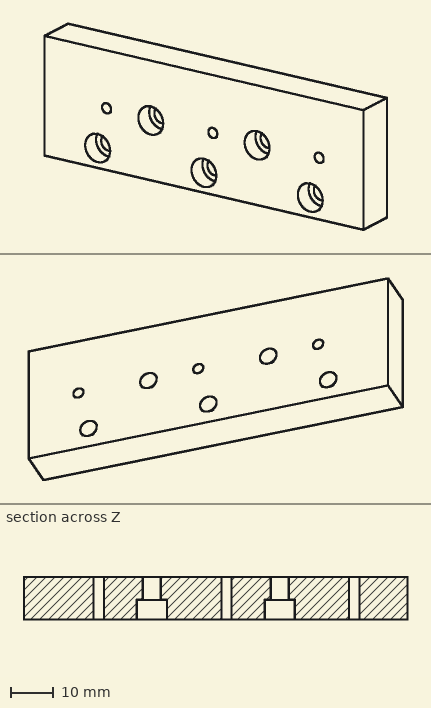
import cadquery as cq

length = 90
thickness = 10.0
height = 30.0

screw_pitch = length / 3
screw_diameter = 4.1
counterbore_diameter = 7.0
counterbore_depth = 4.6
lower_row_height = height / 6
upper_row_height = height / 2

pin_diameter = 2.5
pin_shift = 2.5
pin_row_height = 15.5

lower_screws = [(i * screw_pitch, lower_row_height) for i in (-1, 0, 1)]
upper_screws = [(i * screw_pitch / 2, upper_row_height) for i in (-1, 1)]
pins = [(i * screw_pitch + pin_shift, pin_row_height) for i in (-1, 0, 1)]


def front_holes(centres, diameter, depth):
    """Cylinders running from the front face into the plate along +Y."""
    return cq.Workplane("XZ").pushPoints(centres).circle(diameter / 2).extrude(-depth)


plate = cq.Workplane("XY").box(length, thickness, height, centered=(True, False, False))
screws = lower_screws + upper_screws

result = (
    plate
    .cut(front_holes(screws, screw_diameter, thickness))
    .cut(front_holes(screws, counterbore_diameter, counterbore_depth))
    .cut(front_holes(pins, pin_diameter, thickness))
)